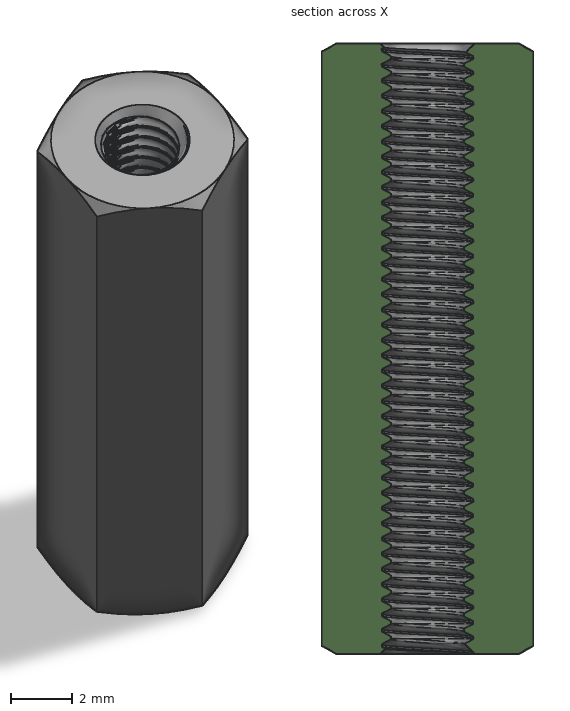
import cadquery as cq
import math

length = 20.0
across_flats = 6.0
side_count = 6
corner_chamfer_angle = 30.0
minor_diameter = 2.4
major_diameter = 3.0
thread_pitch = 0.5
thread_start_angle = 65.0
countersink_diameter = 3.1
countersink_angle = 45.0
joint_tolerance = 0.0002

groove_half_angle = 30.0
groove_root_width = thread_pitch / 8

half_side_angle = 180 / side_count
face_radius = across_flats / 2
corner_radius = face_radius / math.cos(math.radians(half_side_angle))
chamfer_height = (corner_radius - face_radius) * math.tan(math.radians(corner_chamfer_angle))
minor_radius = minor_diameter / 2
major_radius = major_diameter / 2
thread_depth = major_radius - minor_radius
mouth_radius = countersink_diameter / 2
countersink_apex = mouth_radius * math.tan(math.radians(countersink_angle))
total_turns = round(length / thread_pitch)


def revolve_about_z(points):
    """Solid of revolution about Z from (radius, height) points."""
    return cq.Workplane("XZ").polyline(points).close().revolve(360, (0, 0, 0), (0, 1, 0))


def hex_prism(base, height):
    """Hexagonal prism with two corners on the Y axis."""
    prism = cq.Workplane("XY").polygon(side_count, 2 * corner_radius).extrude(height)
    return prism.rotate((0, 0, 0), (0, 0, 1), half_side_angle).translate((0, 0, base))


def chamfer_envelope():
    """Turned shape that trims the hexagon corners at both ends."""
    return revolve_about_z(
        [
            (0, 0),
            (face_radius, 0),
            (corner_radius, chamfer_height),
            (corner_radius, length - chamfer_height),
            (face_radius, length),
            (0, length),
        ]
    )


def countersinks():
    """Full cones that open the threaded hole at both ends."""
    bottom = revolve_about_z([(0, 0), (mouth_radius, 0), (0, countersink_apex)])
    top = revolve_about_z([(0, length), (mouth_radius, length), (0, length - countersink_apex)])
    return bottom.union(top)


def groove_point(radius, angle):
    """Point of the thread cross-section; the angle is measured from the groove middle."""
    return (radius * math.cos(angle), radius * math.sin(angle))


def thread_turn(base):
    """Solid filling one turn of the right-handed threaded hole, a cross-section twisted about Z."""
    turn_per_height = 2 * math.pi / thread_pitch
    root_edge = groove_root_width / 2 * turn_per_height
    flank_span = thread_depth * math.tan(math.radians(groove_half_angle)) * turn_per_height
    crest_edge = root_edge + flank_span
    flank_middle = root_edge + flank_span / 2
    mean_radius = (minor_radius + major_radius) / 2
    section = (
        cq.Workplane("XY")
        .moveTo(*groove_point(minor_radius, -crest_edge))
        .threePointArc(groove_point(mean_radius, -flank_middle), groove_point(major_radius, -root_edge))
        .threePointArc(groove_point(major_radius, 0), groove_point(major_radius, root_edge))
        .threePointArc(groove_point(mean_radius, flank_middle), groove_point(minor_radius, crest_edge))
        .threePointArc(groove_point(minor_radius, math.pi), groove_point(minor_radius, -crest_edge))
        .close()
    )
    turn = section.twistExtrude(thread_pitch, 360)
    return turn.rotate((0, 0, 0), (0, 0, 1), thread_start_angle).translate((0, 0, base))


def end_block(base):
    """Chamfered, countersunk and threaded slice of the standoff at one end, one turn high."""
    blank = hex_prism(base, thread_pitch).intersect(chamfer_envelope()).cut(countersinks())
    return blank.cut(thread_turn(base))


def on_joint(face):
    """True for the flat level faces between the two ends, where neighbouring parts meet."""
    if face.geomType() != "PLANE":
        return False
    is_level = abs(face.normalAt().z) > 0.2 - joint_tolerance
    return is_level and joint_tolerance < face.Center().z < length - joint_tolerance


def standoff():
    """One solid sewn from the skins of the end blocks and the middle, without the joint faces."""
    first_turn = thread_turn(thread_pitch)
    parts = [
        end_block(0),
        hex_prism(thread_pitch, length - 2 * thread_pitch),
        end_block(length - thread_pitch),
    ]
    for turn in range(total_turns - 2):
        parts.append(first_turn.translate((0, 0, turn * thread_pitch)))
    skin = [face for part in parts for face in part.faces().vals() if not on_joint(face)]
    solid = cq.Solid.makeSolid(cq.Shell.makeShell(skin))
    return cq.Workplane(solid.fix()).clean()


result = standoff()